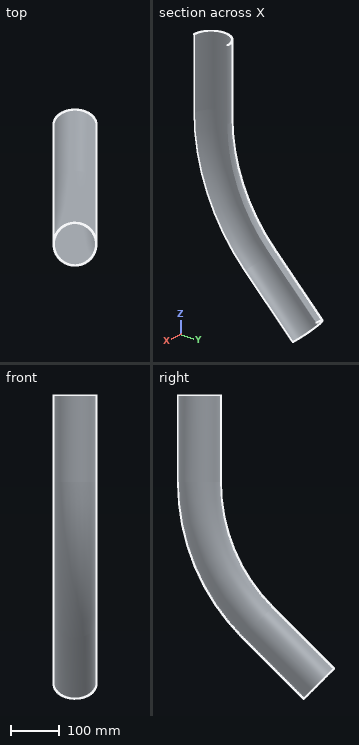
import cadquery as cq
import math

outer_diameter = 88.9
wall_thickness = 1.6
bend_angle = 45.0
bend_radius = 406.4
leg_length = 177.8

inner_diameter = outer_diameter - 2 * wall_thickness
angle = math.radians(bend_angle)


def centreline_point(turn, distance):
    """Point (Y, Z) at `turn` radians around the bend, then `distance` along its tangent."""
    y = bend_radius * (1 - math.cos(turn)) + distance * math.sin(turn)
    z = -bend_radius * math.sin(turn) - distance * math.cos(turn)
    return y, z


def centreline():
    """Upper leg down to the bend at the origin, the bend towards +Y, then the lower leg."""
    return (
        cq.Workplane("YZ")
        .moveTo(0, leg_length)
        .lineTo(0, 0)
        .threePointArc(centreline_point(angle / 2, 0), centreline_point(angle, 0))
        .lineTo(*centreline_point(angle, leg_length))
    )


def bent_tube():
    """Ring section at the top of the upper leg, swept along the centreline."""
    return (
        cq.Workplane("XY", origin=(0, 0, leg_length))
        .circle(outer_diameter / 2)
        .circle(inner_diameter / 2)
        .sweep(centreline())
    )


result = bent_tube()